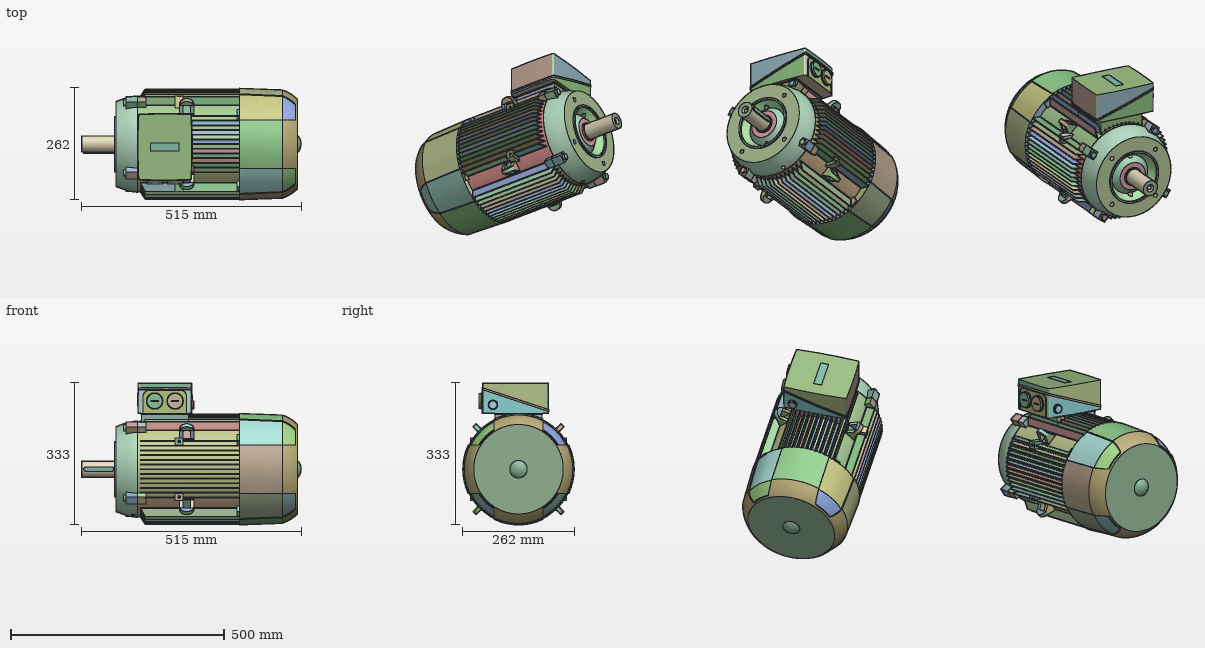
import cadquery as cq
import math


shaft_length = 80.0
shaft_radius = 19.0
shaft_collar_radius = 21.8
shaft_collar_x = 0.5
centre_hole_radius = 9.0
centre_thread_radius = 5.1
centre_cone_depth = 5.0
centre_thread_depth = 28.0
key_width = 10.0
key_length = 71.0
key_end_gap = 4.5
key_top = 22.0

flange_radius = 100.0
spigot_radius = 65.0
spigot_height = 3.5
shield_mid_x = 23.5
shield_mid_radius = 108.6
shield_end_x = 51.0
shield_end_radius = 113.5
recess_mouth_radius = 60.5
recess_taper_x = 0.5
recess_floor_radius = 48.0
recess_floor_x = 19.0
hub_radius = 34.0
hub_face_x = 5.0
bolt_circle_radius = 82.5
flange_hole_diameter = 10.0
flange_hole_depth = 18.0
grease_hole_diameter = 11.0
grease_hole_radius = 48.0
grease_hole_depth = 12.0
drain_hole_x = 40.7
drain_hole_diameter = 9.0
drain_hole_floor_radius = 104.0
drain_hole_angle = 74.0

housing_radius = 112.5
housing_end_x = 289.5
fin_radius = 129.5
fin_pitch = 11.0
fin_thickness = 2.0
fins_each_side = 6
fin_start_x = 57.5
fin_full_x = 69.0
fin_inner = 80.0

lug_size = 20.0
front_lug_size = 20.8
lug_radius = 118.0
lug_angle = 35.0
lug_start_x = 23.9
lug_end_x = 71.0
screw_diameter = 14.0
screw_projection = 5.8
rear_lug_length = 5.0

eye_x = 166.3
eye_width = 33.0
eye_hole_width = 17.5
eye_hole_end_radius = 133.0
eye_hole_corner = 4.0
eye_tip_radius = 146.0
eye_thickness = 10.0
eye_neck_radius = 133.0
eye_foot_half_width = 13.5
eye_foot_radius = 115.0
eye_root_radius = 105.0

earth_x = 148.5
earth_length = 19.0
earth_face = 112.3
earth_inner = 84.0
earth_z = 65.2
earth_height = 17.2
earth_hole_diameter = 6.0
earth_hole_depth = 8.0

cowl_radius = 131.0
cowl_shoulder_x = 390.6
cowl_shoulder_radius = 127.3
cowl_end_x = 426.3
cowl_end_radius = 105.0
cowl_bulge_x = 409.5
cowl_bulge_radius = 118.5
panel_depth = 2.0
panel_inner = 57.0
panel_end_x = 421.7
cap_radius = 20.5
cap_height = 8.7

box_x = 115.0
box_half_length_corner = 61.0
box_half_length_middle = 63.3
box_back_corner = 69.0
box_back_middle = 70.5
box_front_corner = -82.6
box_front_middle = -84.4
box_bottom = 131.0
box_top = 202.0
box_corner_radius = 3.0
rim_offset = 1.3
rim_height = 4.6
rim_top_front = 192.0
rim_slope = 0.33
pedestal_start_x = 60.0
pedestal_end_x = 170.3
pedestal_half_width = 55.2
pedestal_bottom = 95.0
pedestal_lip = 1.5
pedestal_lip_height = 3.0
nameplate_length = 67.3
nameplate_width = 19.0
nameplate_y = -7.3
nameplate_depth = 0.5

entry_plate_length = 102.0
entry_plate_top = 185.0
entry_plate_corner = 14.0
entry_plate_face = -85.4
plug_spacing = 48.0
plug_z = 160.0
plug_collar_diameter = 38.5
plug_collar_face = -88.4
plug_head_diameter = 36.0
plug_head_face = -93.1
plug_slot_length = 17.0
plug_slot_width = 2.0
plug_slot_depth = 1.5
side_plug_y = -60.0
side_plug_z = 151.0
side_plug_collar_diameter = 22.0
side_plug_collar_x = 179.0
side_plug_head_diameter = 19.0
side_plug_head_x = 183.3


def block(x_range, y_range, z_range):
    """Axis-aligned block given by its two limits along each axis."""
    lows, highs = zip(x_range, y_range, z_range)
    size = [high - low for low, high in zip(lows, highs)]
    return cq.Workplane("XY").box(*size, centered=False).translate(lows)


def rod(x_start, x_end, diameter, y=0.0, z=0.0):
    """Cylinder along X."""
    face = cq.Workplane("YZ", origin=(x_start, y, z))
    return face.circle(diameter / 2).extrude(x_end - x_start)


def rod_along_y(y_start, y_end, diameter, x, z):
    """Cylinder along Y."""
    face = cq.Workplane("XZ", origin=(x, y_start, z))
    return face.circle(diameter / 2).extrude(y_start - y_end)


def revolve_about_shaft(profile):
    """Turn a closed (x, radius) profile drawn on the XZ plane about the X axis."""
    return profile.close().revolve(360, (0, 0, 0), (1, 0, 0))


def fuse_all(shapes):
    """Join all the shapes in one step."""
    first, *others = [shape.val() for shape in shapes]
    return cq.Workplane(obj=first.fuse(*others).clean())


def turned_about_shaft(shape, angle):
    return shape.rotate((0, 0, 0), (1, 0, 0), angle)


def make_shaft():
    shaft = revolve_about_shaft(
        cq.Workplane("XZ")
        .moveTo(-shaft_length, 0)
        .lineTo(-shaft_length, shaft_radius)
        .lineTo(shaft_collar_x, shaft_radius)
        .lineTo(shaft_collar_x, shaft_collar_radius)
        .lineTo(shield_end_x, shaft_collar_radius)
        .lineTo(shield_end_x, 0)
    )
    key_x = key_end_gap - shaft_length + key_length / 2
    key = (
        cq.Workplane("XZ", origin=(key_x, 0, 0))
        .slot2D(key_length, key_width)
        .extrude(key_top)
    )
    cone_floor_x = centre_cone_depth - shaft_length
    centre_hole = revolve_about_shaft(
        cq.Workplane("XZ")
        .moveTo(-shaft_length, 0)
        .lineTo(-shaft_length, centre_hole_radius)
        .lineTo(cone_floor_x, centre_thread_radius)
        .lineTo(centre_thread_depth - shaft_length, centre_thread_radius)
        .lineTo(centre_thread_depth - shaft_length, 0)
    )
    return shaft.union(key).cut(centre_hole)


def make_end_shield():
    shield = revolve_about_shaft(
        cq.Workplane("XZ")
        .moveTo(shield_end_x, 0)
        .lineTo(hub_face_x, 0)
        .lineTo(hub_face_x, hub_radius)
        .lineTo(recess_floor_x, recess_floor_radius)
        .lineTo(recess_taper_x, recess_mouth_radius)
        .lineTo(-spigot_height, recess_mouth_radius)
        .lineTo(-spigot_height, spigot_radius)
        .lineTo(0, spigot_radius)
        .lineTo(0, flange_radius)
        .threePointArc((shield_mid_x, shield_mid_radius), (shield_end_x, shield_end_radius))
    )
    for corner in range(4):
        hole = rod(0, flange_hole_depth, flange_hole_diameter, y=bolt_circle_radius)
        shield = shield.cut(turned_about_shaft(hole, 45 + 90 * corner))
    for side in (-1, 1):
        grease_hole = rod(
            0, recess_floor_x + grease_hole_depth, grease_hole_diameter, z=side * grease_hole_radius
        )
        shield = shield.cut(grease_hole)
    drain_hole = rod_along_y(
        -drain_hole_floor_radius, -shield_end_radius, drain_hole_diameter, drain_hole_x, 0
    )
    return shield.cut(turned_about_shaft(drain_hole, drain_hole_angle))


def make_fins():
    envelope = revolve_about_shaft(
        cq.Workplane("XZ")
        .moveTo(fin_start_x, 0)
        .lineTo(fin_start_x, housing_radius)
        .lineTo(fin_full_x, fin_radius)
        .lineTo(housing_end_x, fin_radius)
        .lineTo(housing_end_x, 0)
    )
    plates = []
    x_range = (fin_start_x, housing_end_x)
    for index in range(-fins_each_side, fins_each_side + 1):
        middle = index * fin_pitch
        across = (middle - fin_thickness / 2, middle + fin_thickness / 2)
        for outward in ((fin_inner, cowl_radius), (-cowl_radius, -fin_inner)):
            plates.append(block(x_range, across, outward))
            plates.append(block(x_range, outward, across))
    return fuse_all(plates).intersect(envelope)


def square_lug(x_start, x_end, size):
    """Square bar along X on the rim of the housing, at +Y before it is turned into place."""
    half = size / 2
    return block((x_start, x_end), (lug_radius - half, lug_radius + half), (-half, half))


def make_clamp_lug():
    """Square lug with a screw head, at +Y before it is turned into place."""
    lug = square_lug(lug_start_x, shield_end_x, front_lug_size)
    lug = lug.union(square_lug(shield_end_x, lug_end_x, lug_size))
    screw = rod(lug_start_x - screw_projection, lug_start_x, screw_diameter, y=lug_radius)
    return lug.union(screw)


def make_lifting_eye():
    """Eye plate with a flared foot, pointing along +Y before it is turned into place."""
    neck = eye_thickness / 2
    foot = eye_foot_half_width
    section = (
        cq.Workplane("YZ", origin=(eye_x - eye_width / 2, 0, 0))
        .moveTo(eye_tip_radius, neck)
        .lineTo(eye_neck_radius, neck)
        .lineTo(eye_foot_radius, foot)
        .lineTo(eye_root_radius, foot)
        .lineTo(eye_root_radius, -foot)
        .lineTo(eye_foot_radius, -foot)
        .lineTo(eye_neck_radius, -neck)
        .lineTo(eye_tip_radius, -neck)
        .close()
        .extrude(eye_width)
    )
    tip_centre = eye_tip_radius - eye_width / 2
    outline = (
        cq.Workplane("XY", origin=(eye_x, 0, -foot))
        .moveTo(-eye_width / 2, eye_root_radius)
        .lineTo(-eye_width / 2, tip_centre)
        .threePointArc((0, eye_tip_radius), (eye_width / 2, tip_centre))
        .lineTo(eye_width / 2, eye_root_radius)
        .close()
        .extrude(2 * foot)
    )
    opening = (
        block(
            (eye_x - eye_hole_width / 2, eye_x + eye_hole_width / 2),
            (eye_foot_radius, eye_hole_end_radius),
            (-foot, foot),
        )
        .edges("|Z and >Y")
        .fillet(eye_hole_corner)
    )
    return section.intersect(outline).cut(opening)


def make_earth_block():
    """Earthing block on the -Y, +Z side."""
    earth = block(
        (earth_x - earth_length / 2, earth_x + earth_length / 2),
        (-earth_face, -earth_inner),
        (earth_z - earth_height / 2, earth_z + earth_height / 2),
    )
    hole = rod_along_y(
        -earth_face + earth_hole_depth, -earth_face, earth_hole_diameter, earth_x, earth_z
    )
    return earth.cut(hole)


def make_cowl_body(inset):
    """Solid of the cowl with its outer skin moved inwards by the inset."""
    return revolve_about_shaft(
        cq.Workplane("XZ")
        .moveTo(housing_end_x, 0)
        .lineTo(housing_end_x, cowl_radius - inset)
        .lineTo(cowl_shoulder_x, cowl_shoulder_radius - inset)
        .threePointArc(
            (cowl_bulge_x, cowl_bulge_radius - inset), (cowl_end_x, cowl_end_radius - inset)
        )
        .lineTo(cowl_end_x, 0)
    )


def make_cowl():
    cowl = make_cowl_body(0)
    skin = cowl.cut(make_cowl_body(panel_depth))
    outward = (panel_inner, cowl_radius)
    corner = block((housing_end_x, panel_end_x), outward, outward)
    panel = skin.intersect(corner)
    for quarter in range(4):
        cowl = cowl.cut(turned_about_shaft(panel, 90 * quarter))
    cap_sphere_radius = (cap_radius**2 + cap_height**2) / (2 * cap_height)
    half_angle = math.asin(cap_radius / cap_sphere_radius) / 2
    cap_tip_x = cowl_end_x + cap_height
    cap_mid_x = cap_tip_x - cap_sphere_radius * (1 - math.cos(half_angle))
    cap_mid_radius = cap_sphere_radius * math.sin(half_angle)
    cap = revolve_about_shaft(
        cq.Workplane("XZ")
        .moveTo(cowl_end_x, 0)
        .lineTo(cowl_end_x, cap_radius)
        .threePointArc((cap_mid_x, cap_mid_radius), (cap_tip_x, 0))
    )
    return cowl.union(cap)


def box_prism(margin=0.0):
    """Upright prism of the terminal box, with slightly bowed sides moved outwards by the margin."""
    corner = box_half_length_corner + margin
    middle = box_half_length_middle + margin
    front = box_front_corner - margin
    back = box_back_corner + margin
    middle_y = (front + back) / 2
    return (
        cq.Workplane("XY", origin=(box_x, 0, box_bottom))
        .moveTo(-corner, front)
        .threePointArc((0, box_front_middle - margin), (corner, front))
        .threePointArc((middle, middle_y), (corner, back))
        .threePointArc((0, box_back_middle + margin), (-corner, back))
        .threePointArc((-middle, middle_y), (-corner, front))
        .close()
        .extrude(box_top - box_bottom)
        .edges("|Z")
        .fillet(box_corner_radius + margin)
    )


def make_lid_rim():
    """Sloping rim where the lid meets the lower part of the box."""
    front = box_front_middle - 2 * rim_offset
    back = box_back_middle + 2 * rim_offset
    back_drop = rim_slope * (back - front)
    slab = (
        cq.Workplane("YZ", origin=(box_x - 2 * box_half_length_middle, 0, 0))
        .moveTo(front, rim_top_front)
        .lineTo(front, rim_top_front - rim_height)
        .lineTo(back, rim_top_front - rim_height - back_drop)
        .lineTo(back, rim_top_front - back_drop)
        .close()
        .extrude(4 * box_half_length_middle)
    )
    return box_prism(rim_offset).intersect(slab)


def make_cable_plug(x):
    plug = rod_along_y(box_front_corner, plug_collar_face, plug_collar_diameter, x, plug_z)
    plug = plug.union(rod_along_y(plug_collar_face, plug_head_face, plug_head_diameter, x, plug_z))
    slot = block(
        (x - plug_slot_length / 2, x + plug_slot_length / 2),
        (plug_head_face, plug_head_face + plug_slot_depth),
        (plug_z - plug_slot_width / 2, plug_z + plug_slot_width / 2),
    )
    return plug.cut(slot)


def make_terminal_box():
    box = box_prism().union(make_lid_rim())
    nameplate = block(
        (box_x - nameplate_length / 2, box_x + nameplate_length / 2),
        (nameplate_y - nameplate_width / 2, nameplate_y + nameplate_width / 2),
        (box_top - nameplate_depth, box_top),
    )
    box = box.cut(nameplate)
    entry_plate = (
        block(
            (box_x - entry_plate_length / 2, box_x + entry_plate_length / 2),
            (entry_plate_face, box_front_corner),
            (box_bottom, entry_plate_top),
        )
        .edges("|Y and >Z")
        .fillet(entry_plate_corner)
    )
    box = box.union(entry_plate)
    for side in (-1, 1):
        box = box.union(make_cable_plug(box_x + side * plug_spacing / 2))
    side_plug_start = box_x + box_half_length_corner - box_corner_radius
    for end_x, diameter in (
        (side_plug_collar_x, side_plug_collar_diameter),
        (side_plug_head_x, side_plug_head_diameter),
    ):
        box = box.union(rod(side_plug_start, end_x, diameter, side_plug_y, side_plug_z))
    return box


def make_pedestal():
    pedestal = block(
        (pedestal_start_x, pedestal_end_x),
        (-pedestal_half_width, pedestal_half_width),
        (pedestal_bottom, box_bottom),
    )
    lip_half_width = pedestal_half_width + pedestal_lip
    lip = block(
        (pedestal_start_x - pedestal_lip, pedestal_end_x + pedestal_lip),
        (-lip_half_width, lip_half_width),
        (box_bottom - pedestal_lip_height, box_bottom),
    )
    return pedestal.union(lip)


parts = [
    make_end_shield(),
    make_shaft(),
    rod(shield_end_x, housing_end_x, 2 * housing_radius),
    make_fins(),
    make_cowl(),
    make_pedestal(),
    make_terminal_box(),
]

clamp_lug = make_clamp_lug()
rear_lug = square_lug(housing_end_x - rear_lug_length, housing_end_x, lug_size)
lifting_eye = make_lifting_eye()
for quarter in range(4):
    turn = 90 * quarter
    parts.append(turned_about_shaft(clamp_lug, turn + lug_angle))
    parts.append(turned_about_shaft(rear_lug, turn - lug_angle))
    parts.append(turned_about_shaft(lifting_eye, turn + 45))

earth_block = make_earth_block()
for earth in (earth_block, earth_block.mirror("XY")):
    parts.append(earth)
    parts.append(earth.mirror("XZ"))

result = fuse_all(parts)